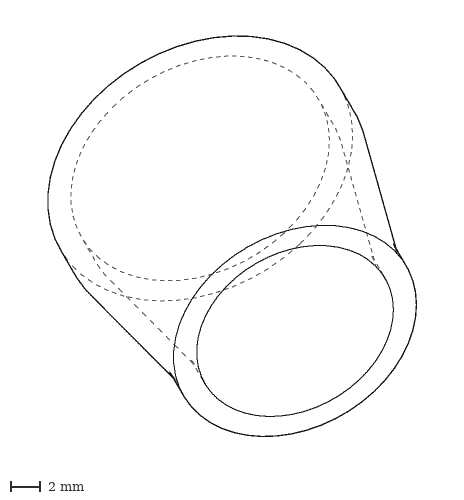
import cadquery as cq

large_diameter = 21.7
small_diameter = 17.3
wall = 1.65
total_length = 19.0
collar_length = 3.0

cone_end = total_length - collar_length


def reducer_body(large_radius, small_radius):
    """Solid of revolution: straight collar, cone, straight collar."""
    return (
        cq.Workplane("XY")
        .polyline([
            (0, 0),
            (0, large_radius),
            (collar_length, large_radius),
            (cone_end, small_radius),
            (total_length, small_radius),
            (total_length, 0),
        ])
        .close()
        .revolve(360, (0, 0, 0), (1, 0, 0))
    )


outside = reducer_body(large_diameter / 2, small_diameter / 2)
bore = reducer_body(large_diameter / 2 - wall, small_diameter / 2 - wall)

result = outside.cut(bore)